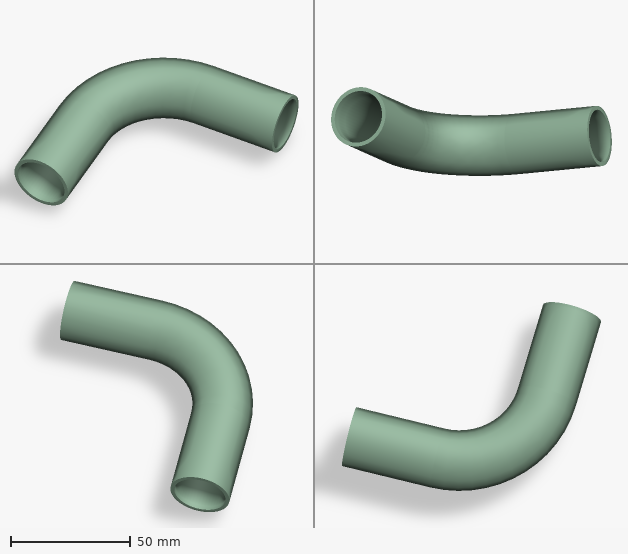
import cadquery as cq
import math

overall_length = 90.2
outer_diameter = 25.4
inner_diameter = 22.1
bend_angle = 88.0

bend_sin = math.sin(math.radians(bend_angle))
bend_cos = math.cos(math.radians(bend_angle))
end_rise = outer_diameter / 2 * bend_sin
leg_length = (overall_length - end_rise) / (1 + bend_sin + bend_cos)
bend_radius = leg_length


def point_on_bend(angle):
    """Centreline point after turning by the given angle in degrees."""
    turn = math.radians(angle)
    return (
        bend_radius * (1 - math.cos(turn)),
        leg_length + bend_radius * math.sin(turn),
    )


bend_start = point_on_bend(0)
bend_middle = point_on_bend(bend_angle / 2)
bend_end = point_on_bend(bend_angle)
far_end = (bend_end[0] + leg_length * bend_sin, bend_end[1] + leg_length * bend_cos)

centreline = (
    cq.Workplane("XY")
    .lineTo(*bend_start)
    .threePointArc(bend_middle, bend_end)
    .lineTo(*far_end)
)

result = (
    cq.Workplane("XZ")
    .circle(outer_diameter / 2)
    .circle(inner_diameter / 2)
    .sweep(centreline)
)